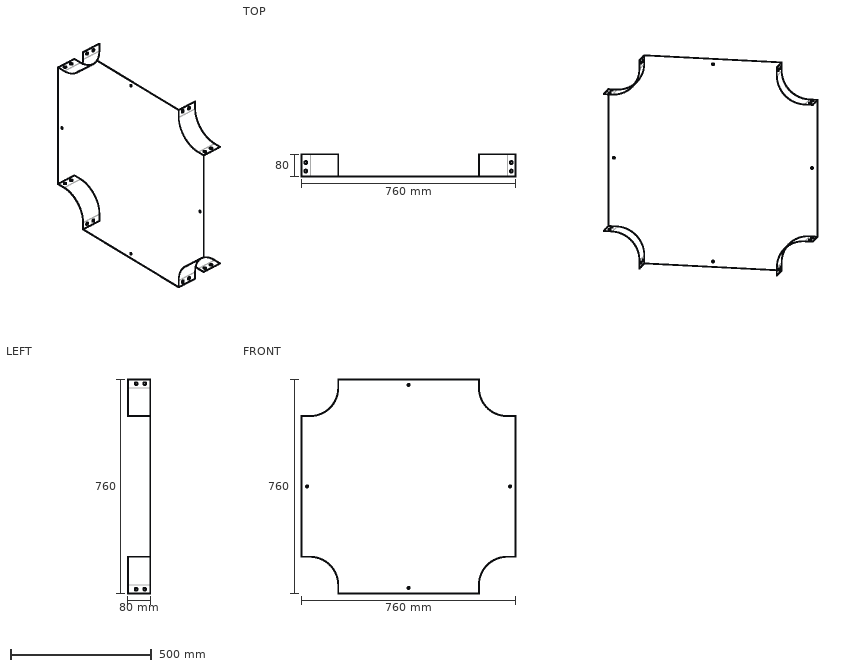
import cadquery as cq

side = 760.0
depth = 80.0
thickness = 0.7

tab_length = 30.5
corner_radius = 99.5
cutout = tab_length + corner_radius

tab_hole_diameter = 10.0
tab_hole_offsets = (20.0, 50.0)
plate_hole_diameter = 7.0
plate_hole_inset = 20.0

half_side = side / 2
half_depth = depth / 2
front_y = -half_depth
edge_half = half_side - cutout
plate_hole_reach = half_side - plate_hole_inset
tab_hole_reach = half_side - tab_length / 2


def corner_prism(growth, length):
    """Corner cut-out at +X +Z, enlarged by growth, running from the plate face along +Y."""
    straight = edge_half - growth
    bend_start = half_side - tab_length
    return (
        cq.Workplane("XZ", origin=(0, front_y, 0))
        .moveTo(half_side, half_side)
        .lineTo(straight, half_side)
        .lineTo(straight, bend_start)
        .radiusArc((bend_start, straight), -(corner_radius + growth))
        .lineTo(half_side, straight)
        .close()
        .extrude(-length)
    )


def corner_tab_holes():
    """Hole pairs through both straight tabs of the +X +Z corner flange."""
    drill_start = edge_half - 2 * thickness
    drill_length = 4 * thickness
    radius = tab_hole_diameter / 2
    drills = cq.Workplane()
    for offset in tab_hole_offsets:
        y = front_y + offset
        along_z = cq.Vector(tab_hole_reach, y, drill_start)
        along_x = cq.Vector(drill_start, y, tab_hole_reach)
        drills = drills.add(cq.Solid.makeCylinder(radius, drill_length, along_z, cq.Vector(0, 0, 1)))
        drills = drills.add(cq.Solid.makeCylinder(radius, drill_length, along_x, cq.Vector(1, 0, 0)))
    return drills


def at_corners(body):
    """A +X +Z corner body repeated at all four corners and joined into one shape."""
    copies = cq.Workplane()
    for turn in range(4):
        copies = copies.add(body.rotate((0, 0, 0), (0, 1, 0), 90 * turn).vals())
    return copies.combine()


plate = (
    cq.Workplane("XZ", origin=(0, front_y, 0))
    .rect(side, side)
    .extrude(-thickness)
    .cut(at_corners(corner_prism(0, thickness)))
    .faces("<Y")
    .workplane(origin=(0, front_y, 0))
    .polarArray(plate_hole_reach, 0, 360, 4)
    .hole(plate_hole_diameter)
)

flange = corner_prism(thickness, depth).cut(corner_prism(0, depth))
result = plate.union(at_corners(flange)).cut(at_corners(corner_tab_holes()))